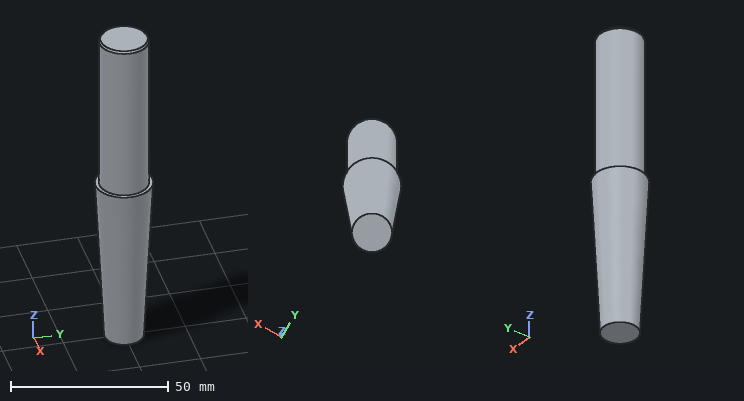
import cadquery as cq

total_height = 111.1
handle_diameter = 16.0
chamfer_height = 0.8
chamfer_width = 0.4
taper_height = 57.2
taper_top_diameter = 18.7
taper_tip_diameter = 12.8


def make_taper():
    """Solid cone frustum, standing on its narrow end."""
    return (
        cq.Workplane("XY")
        .circle(taper_tip_diameter / 2)
        .workplane(offset=taper_height)
        .circle(taper_top_diameter / 2)
        .loft(ruled=True)
    )


def make_handle():
    """Round bar seated on the wide end of the taper, chamfered at its top."""
    return (
        cq.Workplane("XY", origin=(0, 0, taper_height))
        .circle(handle_diameter / 2)
        .extrude(total_height - taper_height)
        .faces(">Z")
        .chamfer(chamfer_height, chamfer_width)
    )


taper = make_taper()
handle = make_handle()

result = cq.Compound.makeCompound([taper.val(), handle.val()])